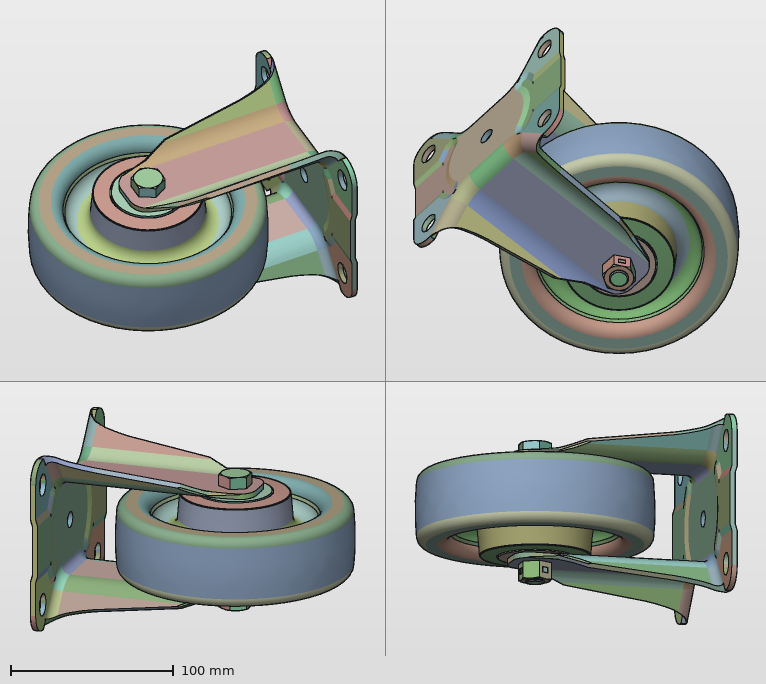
import cadquery as cq
import math


SHEET = 3.5
PLATE_BACK_Y = 110.6
PLATE_WIDTH = 132.0
PLATE_HEIGHT = 110.0
PLATE_CORNER = 13.0
LEG_INNER_Z = 30.5
LEG_FLAT_HALF = 15.3
WING_ANGLE = 50.0
WING_BEND = 14.8
BEND_OUTER = 8.9
LEG_REACH = 184.4
WING_REACH = 73.8
LEG_TIP_Y = -15.7
LEG_TIP_HALF = 14.4
LEG_SHOULDER_Y = 27.3
LEG_SHOULDER_HALF = 30.2
LEG_TIP_CORNER = 12.2
WING_EDGE_TAPER = [(36.5, -9.2), (40.5, 9.2), (48.7, 25.8)]
WING_EDGE_STRAIGHT_END = (56.8, 80.0)
WING_EDGE_FLARE = [(59.2, 90.4), (63.0, 101.2), (71.2, 109.2), (80.2, PLATE_BACK_Y)]

HOLE_X = 52.5
HOLE_Z = 38.7
SLOT_WIDTH = 11.6
SLOT_LENGTH = 13.8
CENTRE_HOLE = 10.0

EMBOSS_RISE = 1.3
EMBOSS_INSET = 4.5
EMBOSS_HALF = 20.3
HORN_RADIUS = 40.8
HORN_HALF_WIDTH = 7.0
HORN_ANGLE = 36.0

TYRE_RADIUS = 73.8
TREAD_EDGE_RADIUS = 73.0
TYRE_HALF_WIDTH = 22.3
TYRE_SHOULDER = 5.9
TYRE_BORE = 51.3
TYRE_LIP_RADIUS = 52.4
TYRE_LIP_ROUND = 7.4
RIM_EDGE_HALF = 13.0
VALLEY_RADIUS = 43.5
VALLEY_HALF = 5.3
HUB_ROOT_RADIUS = 35.5
HUB_ROOT_ROUND = VALLEY_RADIUS - HUB_ROOT_RADIUS
HUB_TOP_RADIUS = 34.3
HUB_HALF = 28.8
RIM_BOWL_MIDDLE = (48.9, 7.7)
COVER_OUTER = 33.7
COVER_INNER = 23.6
COVER_OUTER_THICK = 0.5
COVER_INNER_THICK = 1.1
SPACER_RADIUS = 22.7

BOLT_RADIUS = 5.9
BOLT_END_RADIUS = 5.2
BOLT_END_Z = -46.1
BOLT_END_CHAMFER = BOLT_RADIUS - BOLT_END_RADIUS
HEX_FLATS = 18.0
HEX_CHAMFER_DEPTH = 0.5
HEAD_HEIGHT = 7.5
NUT_HEIGHT = 10.9
MARK_WIDTH = 4.5
MARK_HEIGHT = 3.3
MARK_DEPTH = 0.4
MARK_OFFSET = 5.2

LEG_OUTER_Z = LEG_INNER_Z + SHEET
PLATE_FRONT_Y = PLATE_BACK_Y - SHEET
SLOPE_COS = math.cos(math.radians(WING_ANGLE))
SLOPE_SIN = math.sin(math.radians(WING_ANGLE))


def channel_block(flat_z, bend_radius, end_y, end_round):
    """Solid lying between two opposed leg surfaces, rounded where it ends at +Y."""
    tangent_x = LEG_FLAT_HALF + bend_radius * SLOPE_SIN
    tangent_z = flat_z + bend_radius * (1 - SLOPE_COS)
    half_angle = math.radians(WING_ANGLE / 2)
    middle_x = LEG_FLAT_HALF + bend_radius * math.sin(half_angle)
    middle_z = flat_z + bend_radius * (1 - math.cos(half_angle))
    end_x = tangent_x + WING_REACH * SLOPE_COS
    end_z = tangent_z + WING_REACH * SLOPE_SIN
    block = (
        cq.Workplane("XZ", origin=(0, end_y, 0))
        .moveTo(-end_x, -end_z)
        .lineTo(-tangent_x, -tangent_z)
        .threePointArc((-middle_x, -middle_z), (-LEG_FLAT_HALF, -flat_z))
        .lineTo(LEG_FLAT_HALF, -flat_z)
        .threePointArc((middle_x, -middle_z), (tangent_x, -tangent_z))
        .lineTo(end_x, -end_z)
        .lineTo(end_x, end_z)
        .lineTo(tangent_x, tangent_z)
        .threePointArc((middle_x, middle_z), (LEG_FLAT_HALF, flat_z))
        .lineTo(-LEG_FLAT_HALF, flat_z)
        .threePointArc((-middle_x, middle_z), (-tangent_x, tangent_z))
        .lineTo(-end_x, end_z)
        .close()
        .extrude(LEG_REACH)
    )
    bend_edges = [e for e in block.faces(">Y").edges().vals() if abs(e.Center().x) < end_x - 1.8]
    return block.newObject(bend_edges).fillet(end_round)


def wing_trimmer():
    """Cutter square to the (+X, +Z) wing that removes the sheet beyond the wing's edge."""
    beyond = WING_REACH + WING_EDGE_FLARE[-1][0]
    below_wing = 3.7
    depth = 18.5
    straight_start = WING_EDGE_TAPER[-1]
    straight_run = (
        WING_EDGE_STRAIGHT_END[0] - straight_start[0],
        WING_EDGE_STRAIGHT_END[1] - straight_start[1],
    )
    plane = cq.Plane(
        origin=(below_wing * SLOPE_SIN, 0, -below_wing * SLOPE_COS),
        xDir=(SLOPE_COS, 0, SLOPE_SIN),
        normal=(-SLOPE_SIN, 0, SLOPE_COS),
    )
    flare_end = (1.0, 0.05)
    return (
        cq.Workplane(plane)
        .polyline([*WING_EDGE_TAPER, WING_EDGE_STRAIGHT_END])
        .spline(WING_EDGE_FLARE, tangents=[straight_run, flare_end], includeCurrent=True)
        .lineTo(beyond, PLATE_BACK_Y)
        .lineTo(beyond, WING_EDGE_TAPER[0][1])
        .close()
        .extrude(depth)
    )


def leg_tip_trimmer():
    """Everything before the legs' shoulders except the tapering, rounded tips."""
    tip = (
        cq.Workplane("XY")
        .polyline([
            (-LEG_SHOULDER_HALF, LEG_SHOULDER_Y),
            (-LEG_TIP_HALF, LEG_TIP_Y),
            (LEG_TIP_HALF, LEG_TIP_Y),
            (LEG_SHOULDER_HALF, LEG_SHOULDER_Y),
        ])
        .close()
        .extrude(LEG_REACH, both=True)
        .edges("|Z and <Y")
        .fillet(LEG_TIP_CORNER)
    )
    surround = cq.Workplane("XY").box(
        2 * LEG_REACH, LEG_REACH, 2 * LEG_REACH
    ).translate((0, LEG_SHOULDER_Y - LEG_REACH / 2, 0))
    return surround.cut(tip)


def plate_emboss(base_y):
    """Raised panel and curved horns at +X, standing towards -Y on the plane y = base_y."""
    edge_x = PLATE_WIDTH / 2
    top_y = base_y - EMBOSS_RISE
    crest_half = EMBOSS_HALF - EMBOSS_INSET
    panel = (
        cq.Workplane("YZ", origin=(HORN_RADIUS, 0, 0))
        .polyline([
            (base_y, -EMBOSS_HALF),
            (top_y, -crest_half),
            (top_y, crest_half),
            (base_y, EMBOSS_HALF),
        ])
        .close()
        .extrude(edge_x - HORN_RADIUS)
    )

    crest_half_width = HORN_HALF_WIDTH - EMBOSS_INSET
    band = (
        cq.Workplane("XY")
        .polyline([
            (HORN_RADIUS - HORN_HALF_WIDTH, base_y),
            (HORN_RADIUS - crest_half_width, top_y),
            (HORN_RADIUS + crest_half_width, top_y),
            (HORN_RADIUS + HORN_HALF_WIDTH, base_y),
        ])
        .close()
        .revolve(2 * HORN_ANGLE, (0, 0, 0), (0, 1, 0))
        .rotate((0, 0, 0), (0, 1, 0), -HORN_ANGLE)
    )
    emboss = panel.union(band)
    for angle in (-HORN_ANGLE, HORN_ANGLE):
        tip_round = cq.Solid.makeCone(
            HORN_HALF_WIDTH,
            crest_half_width,
            EMBOSS_RISE,
            cq.Vector(HORN_RADIUS, base_y, 0),
            cq.Vector(0, -1, 0),
        )
        emboss = emboss.union(cq.Workplane(tip_round).rotate((0, 0, 0), (0, 1, 0), angle))
    return emboss


def make_fork():
    outer = channel_block(LEG_OUTER_Z, WING_BEND, PLATE_BACK_Y, BEND_OUTER)
    inner = channel_block(LEG_INNER_Z, WING_BEND + SHEET, PLATE_FRONT_Y, BEND_OUTER - SHEET)
    fork = outer.cut(inner)

    plate_outline = (
        cq.Workplane("XZ", origin=(0, PLATE_BACK_Y, 0))
        .rect(PLATE_WIDTH, PLATE_HEIGHT)
        .extrude(LEG_REACH)
        .edges("|Y")
        .fillet(PLATE_CORNER)
    )
    fork = fork.intersect(plate_outline)

    trimmer = wing_trimmer()
    for cutter in (trimmer, trimmer.mirror("YZ")):
        fork = fork.cut(cutter).cut(cutter.mirror("XY"))
    fork = fork.cut(leg_tip_trimmer())

    raised = plate_emboss(PLATE_FRONT_Y)
    hollow = plate_emboss(PLATE_BACK_Y)
    fork = fork.union(raised).union(raised.mirror("YZ"))
    fork = fork.cut(hollow).cut(hollow.mirror("YZ"))

    slots = (
        cq.Workplane("XZ", origin=(0, PLATE_BACK_Y, 0))
        .rect(2 * HOLE_X, 2 * HOLE_Z, forConstruction=True)
        .vertices()
        .slot2D(SLOT_LENGTH, SLOT_WIDTH, 90)
        .extrude(SHEET)
    )
    centre_hole = cq.Workplane("XZ", origin=(0, PLATE_BACK_Y, 0)).circle(CENTRE_HOLE / 2).extrude(SHEET)
    bolt_hole = cq.Workplane("XY").circle(BOLT_RADIUS).extrude(LEG_OUTER_Z, both=True)
    return fork.cut(slots).cut(centre_hole).cut(bolt_hole)


def revolve_about_axle(profile):
    """Turn a closed profile, drawn with X as the radius and Y as the height, about the Z axis."""
    return profile.close().revolve(360, (0, 0, 0), (0, 1, 0))


def make_tyre():
    turn = math.sqrt(0.5)
    shoulder_x = TREAD_EDGE_RADIUS - TYRE_SHOULDER
    shoulder_z = TYRE_HALF_WIDTH - TYRE_SHOULDER
    lip_x = TYRE_LIP_RADIUS + TYRE_LIP_ROUND
    lip_z = TYRE_HALF_WIDTH - TYRE_LIP_ROUND
    tread_edge = (TREAD_EDGE_RADIUS, shoulder_z)
    shoulder_mid = (shoulder_x + TYRE_SHOULDER * turn, shoulder_z + TYRE_SHOULDER * turn)
    flat_outer = (shoulder_x, TYRE_HALF_WIDTH)
    flat_inner = (lip_x, TYRE_HALF_WIDTH)
    lip_mid = (lip_x - TYRE_LIP_ROUND * turn, lip_z + TYRE_LIP_ROUND * turn)
    lip_end = (TYRE_LIP_RADIUS, lip_z)

    def below(point):
        return (point[0], -point[1])

    profile = (
        cq.Workplane("XZ")
        .moveTo(TYRE_BORE, -RIM_EDGE_HALF)
        .lineTo(*below(lip_end))
        .threePointArc(below(lip_mid), below(flat_inner))
        .lineTo(*below(flat_outer))
        .threePointArc(below(shoulder_mid), below(tread_edge))
        .threePointArc((TYRE_RADIUS, 0), tread_edge)
        .threePointArc(shoulder_mid, flat_outer)
        .lineTo(*flat_inner)
        .threePointArc(lip_mid, lip_end)
        .lineTo(TYRE_BORE, RIM_EDGE_HALF)
    )
    return revolve_about_axle(profile)


def make_rim():
    root_z = VALLEY_HALF + HUB_ROOT_ROUND
    bowl_x, bowl_z = RIM_BOWL_MIDDLE
    root_mid_x = VALLEY_RADIUS - HUB_ROOT_ROUND * math.sqrt(0.5)
    root_mid_z = root_z - HUB_ROOT_ROUND * math.sqrt(0.5)
    profile = (
        cq.Workplane("XZ")
        .moveTo(BOLT_RADIUS, -HUB_HALF)
        .lineTo(HUB_TOP_RADIUS, -HUB_HALF)
        .lineTo(HUB_ROOT_RADIUS, -root_z)
        .threePointArc((root_mid_x, -root_mid_z), (VALLEY_RADIUS, -VALLEY_HALF))
        .threePointArc((bowl_x, -bowl_z), (TYRE_BORE, -RIM_EDGE_HALF))
        .lineTo(TYRE_BORE, RIM_EDGE_HALF)
        .threePointArc((bowl_x, bowl_z), (VALLEY_RADIUS, VALLEY_HALF))
        .threePointArc((root_mid_x, root_mid_z), (HUB_ROOT_RADIUS, root_z))
        .lineTo(HUB_TOP_RADIUS, HUB_HALF)
        .lineTo(BOLT_RADIUS, HUB_HALF)
    )
    return revolve_about_axle(profile)


def make_cover():
    """Slightly coned ring on the upper end of the hub."""
    profile = cq.Workplane("XZ").polyline([
        (COVER_INNER, HUB_HALF),
        (COVER_OUTER, HUB_HALF),
        (COVER_OUTER, HUB_HALF + COVER_OUTER_THICK),
        (COVER_INNER, HUB_HALF + COVER_INNER_THICK),
    ])
    return revolve_about_axle(profile)


def make_spacer():
    """Washer that fills the space between the hub's upper end and the leg."""
    return (
        cq.Workplane("XY", origin=(0, 0, HUB_HALF))
        .circle(SPACER_RADIUS)
        .circle(BOLT_RADIUS)
        .extrude(LEG_INNER_Z - HUB_HALF)
    )


def hex_block(height):
    """Hexagonal prism standing on z = 0, with its upper corners turned off."""
    across_corners = HEX_FLATS / math.cos(math.radians(30))
    corner_run = (across_corners - HEX_FLATS) / 2
    prism = cq.Workplane("XY").polygon(6, across_corners).extrude(height)
    turned = (
        cq.Workplane("XY")
        .circle(across_corners / 2)
        .extrude(height)
        .faces(">Z")
        .chamfer(HEX_CHAMFER_DEPTH, corner_run)
    )
    return prism.intersect(turned)


def make_bolt():
    head = hex_block(HEAD_HEIGHT).translate((0, 0, LEG_OUTER_Z))
    shank = (
        cq.Workplane("XY", origin=(0, 0, BOLT_END_Z))
        .circle(BOLT_RADIUS)
        .extrude(LEG_OUTER_Z - BOLT_END_Z)
        .faces("<Z")
        .chamfer(BOLT_END_CHAMFER)
    )
    return head.union(shank)


def make_nut():
    nut = hex_block(NUT_HEIGHT).mirror("XY").translate((0, 0, -LEG_OUTER_Z))
    nut = nut.cut(cq.Workplane("XY").circle(BOLT_RADIUS).extrude(BOLT_END_Z))
    mark = cq.Workplane("XY").box(MARK_WIDTH, 2 * MARK_DEPTH, MARK_HEIGHT).translate(
        (0, -HEX_FLATS / 2, -LEG_OUTER_Z - MARK_OFFSET)
    )
    for turn in (0, 120, 240):
        nut = nut.cut(mark.rotate((0, 0, 0), (0, 0, 1), turn))
    return nut


fork = make_fork()
tyre = make_tyre()
rim = make_rim()
bolt = make_bolt()
nut = make_nut()
covers = []
spacers = []
for flip in (0, 180):
    covers.append(make_cover().rotate((0, 0, 0), (1, 0, 0), flip))
    spacers.append(make_spacer().rotate((0, 0, 0), (1, 0, 0), flip))

bodies = [fork, tyre, rim, *covers, *spacers, bolt, nut]
result = cq.Compound.makeCompound([body.val() for body in bodies])